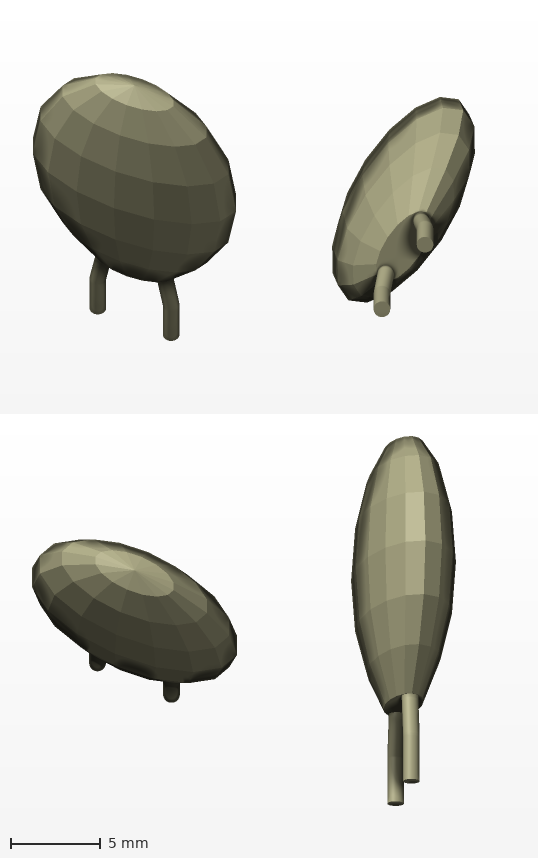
import cadquery as cq
import math

body_width = 12.5
body_depth = 5.41
body_height = 15.52
meridian_count = 16
angle_step = 360 / meridian_count
latitudes = (67.5, 45, 22.5, 0, -22.5, -45)
base_latitude = -67.5

total_height = 20.58
lead_diameter = 0.93
lead_top_spacing = 3.72
lead_bottom_spacing = 4.5
lead_foot_length = 2.55
bend_radius = 0.82
bend_angle = math.radians(10)

base_z = total_height - body_height
center_z = base_z + body_height / 2


def ring_point(latitude, z, index):
    """Vertex number `index`, counted round from +X, of the elliptical ring at height z."""
    longitude = math.radians(index * angle_step)
    size = math.cos(math.radians(latitude)) / 2
    x = body_width * size * math.cos(longitude)
    y = body_depth * size * math.sin(longitude)
    return cq.Vector(x, y, z)


def ring(latitude, z):
    return [ring_point(latitude, z, index) for index in range(meridian_count)]


def flat_face(*corners):
    return cq.Face.makeFromWires(cq.Wire.makePolygon(corners, close=True))


def latitude_height(latitude):
    return center_z + body_height / 2 * math.sin(math.radians(latitude))


def make_body():
    rings = [ring(latitude, latitude_height(latitude)) for latitude in latitudes]
    rings.append(ring(base_latitude, base_z))
    top_point = cq.Vector(0, 0, total_height)

    faces = [flat_face(*rings[-1])]
    for index in range(meridian_count):
        following = (index + 1) % meridian_count
        faces.append(flat_face(top_point, rings[0][index], rings[0][following]))
        for upper, lower in zip(rings, rings[1:]):
            faces.append(flat_face(upper[index], lower[index], lower[following]))
            faces.append(flat_face(upper[index], lower[following], upper[following]))
    return cq.Solid.makeSolid(cq.Shell.makeShell(faces))


def make_lead(side):
    """One lead; side is -1 for the -X lead and +1 for the +X lead."""
    bottom_x = lead_bottom_spacing / 2
    top_x = lead_top_spacing / 2
    bend_shift = bend_radius * (1 - math.cos(bend_angle))
    bend_rise = bend_radius * math.sin(bend_angle)
    half_shift = bend_radius * (1 - math.cos(bend_angle / 2))
    half_rise = bend_radius * math.sin(bend_angle / 2)
    slant_rise = (bottom_x - top_x - 2 * bend_shift) / math.tan(bend_angle)
    slant_start_z = lead_foot_length + bend_rise
    slant_end_z = slant_start_z + slant_rise
    neck_z = slant_end_z + bend_rise

    path = (
        cq.Workplane("XZ")
        .moveTo(side * bottom_x, 0)
        .lineTo(side * bottom_x, lead_foot_length)
        .threePointArc(
            (side * (bottom_x - half_shift), lead_foot_length + half_rise),
            (side * (bottom_x - bend_shift), slant_start_z),
        )
        .lineTo(side * (top_x + bend_shift), slant_end_z)
        .threePointArc((side * (top_x + half_shift), neck_z - half_rise), (side * top_x, neck_z))
        .lineTo(side * top_x, base_z)
    )
    section = cq.Workplane("XY").center(side * bottom_x, 0).circle(lead_diameter / 2)
    return section.sweep(path).val()


body = make_body()
leads = [make_lead(side) for side in (-1, 1)]

result = cq.Compound.makeCompound([body, *leads])